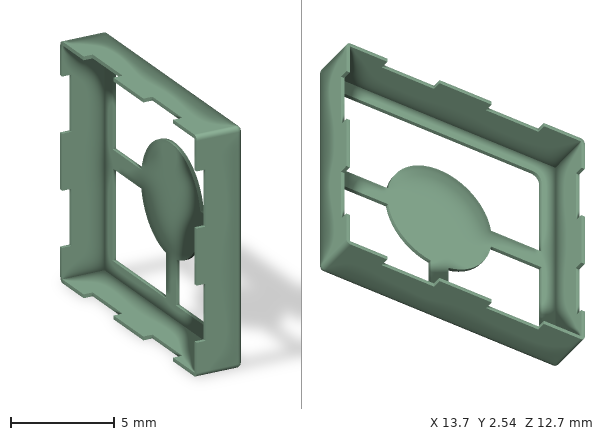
import cadquery as cq

WIDTH = 13.7
DEPTH = 2.54
HEIGHT = 12.7
WALL = 0.2
EDGE_RADIUS = 0.25

FRAME_MARGIN = 1.0
WINDOW_WIDTH = WIDTH - 2 * FRAME_MARGIN
WINDOW_HEIGHT = HEIGHT - 2 * FRAME_MARGIN
WINDOW_CORNER_RADIUS = 0.5
DISC_RADIUS = 3.0
SPOKE_WIDTH = 1.0

NOTCH_LENGTH = 3.0
NOTCH_DEPTH = 0.5
TAB_LENGTH = 3.0
NOTCH_OFFSET = (TAB_LENGTH + NOTCH_LENGTH) / 2

RIM_Y = -DEPTH / 2
FACE_INNER_Y = DEPTH / 2 - WALL
NOTCH_CENTER_Y = RIM_Y + NOTCH_DEPTH / 2


def make_shell():
    """Open tray with rounded outer edges and a sharp-cornered cavity."""
    outer = cq.Workplane("XY").box(WIDTH, DEPTH, HEIGHT)
    outer = outer.edges("|Y or >Y").fillet(EDGE_RADIUS)
    cavity = cq.Workplane("XY").box(WIDTH - 2 * WALL, DEPTH, HEIGHT - 2 * WALL)
    return outer.cut(cavity.translate((0, -WALL, 0)))


def make_window():
    """Through opening in the face plate, rounded at its two upper corners."""
    window = cq.Workplane("XY").box(WINDOW_WIDTH, WALL, WINDOW_HEIGHT)
    window = window.edges("|Y and >Z").fillet(WINDOW_CORNER_RADIUS)
    return window.translate((0, FACE_INNER_Y + WALL / 2, 0))


def make_disc_and_spokes():
    """Central disc with spokes to both sides and down to the frame."""
    plane = cq.Workplane("XZ", origin=(0, FACE_INNER_Y, 0))
    disc = plane.circle(DISC_RADIUS).extrude(-WALL)
    side_spokes = plane.rect(WINDOW_WIDTH, SPOKE_WIDTH).extrude(-WALL)
    lower_spoke = (
        plane.center(0, -WINDOW_HEIGHT / 4)
        .rect(SPOKE_WIDTH, WINDOW_HEIGHT / 2)
        .extrude(-WALL)
    )
    return disc.union(side_spokes).union(lower_spoke)


def cut_rim_notches(body):
    """Cut each notch through both opposite walls."""
    for side in (-1, 1):
        offset = side * NOTCH_OFFSET
        through_z = cq.Workplane("XY").box(NOTCH_LENGTH, NOTCH_DEPTH, HEIGHT)
        through_x = cq.Workplane("XY").box(WIDTH, NOTCH_DEPTH, NOTCH_LENGTH)
        body = body.cut(through_z.translate((offset, NOTCH_CENTER_Y, 0)))
        body = body.cut(through_x.translate((0, NOTCH_CENTER_Y, offset)))
    return body


shell = make_shell().cut(make_window())
result = cut_rim_notches(shell.union(make_disc_and_spokes()))